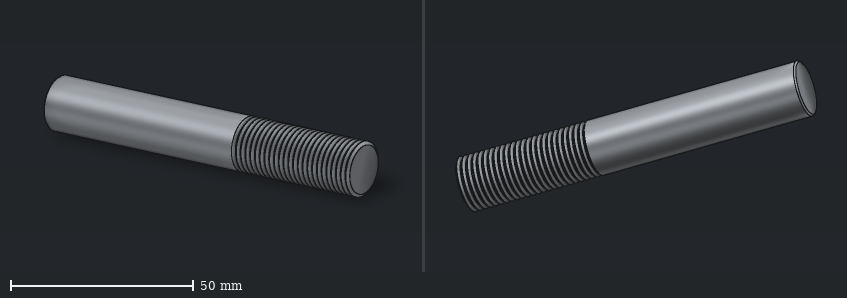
import cadquery as cq

pin_length = 101.6
pin_diameter = 15.8
end_chamfer = 0.5

ring_count = 24
rings_length = 38.1
tip_length = 0.7
thread_depth = 1.0
crest_width = 0.1
root_width = 0.3

pin_radius = pin_diameter / 2
root_radius = pin_radius - thread_depth
pitch = rings_length / ring_count
half_crest = crest_width / 2
half_root = root_width / 2
last_crest = pin_length - tip_length
shank_length = last_crest - rings_length + half_crest


def half_profile():
    """Closed outline of one side of the pin: chamfered shank, thread rings, then the tip."""
    outline = (
        cq.Workplane("XY")
        .lineTo(0, pin_radius - end_chamfer)
        .lineTo(end_chamfer, pin_radius)
        .lineTo(shank_length, pin_radius)
    )
    for ring in range(ring_count):
        crest = last_crest - (ring_count - 1 - ring) * pitch
        root = crest - pitch / 2
        outline = (
            outline.lineTo(root - half_root, root_radius)
            .lineTo(root + half_root, root_radius)
            .lineTo(crest - half_crest, pin_radius)
            .lineTo(crest + half_crest, pin_radius)
        )
    last_root = last_crest + pitch / 2
    return (
        outline.lineTo(last_root - half_root, root_radius)
        .lineTo(pin_length, root_radius)
        .lineTo(pin_length, 0)
        .close()
    )


axis_start = (0, 0, 0)
axis_end = (1, 0, 0)
turned_pin = half_profile().revolve(360, axis_start, axis_end)
result = turned_pin.translate((-pin_length / 2, 0, 0))